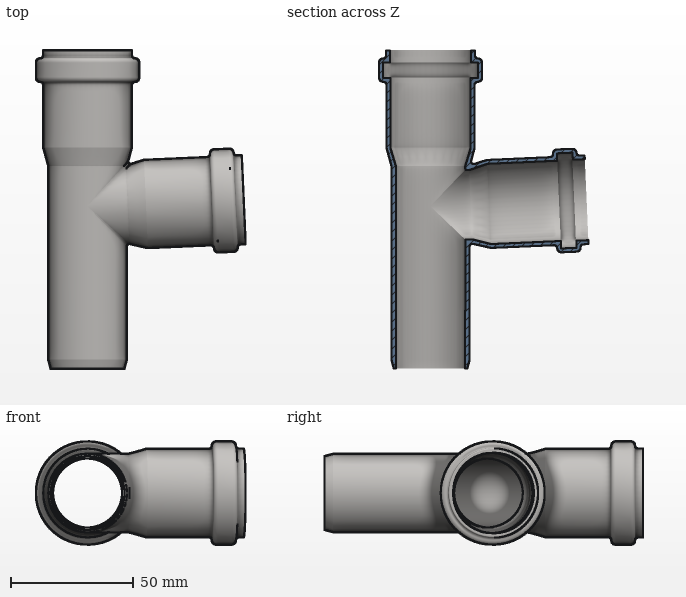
import cadquery as cq
import math

PIPE_DIAMETER = 32.2
BORE_DIAMETER = 28.2
PIPE_REACH = 66.5
SPIGOT_CHAMFER_LENGTH = 3.7
SPIGOT_CHAMFER_DEPTH = 1.0

SOCKET_REACH = 64.0
SOCKET_DIAMETER = 36.3
SOCKET_BORE_DIAMETER = 32.7
TAPER_START = 16.5
TAPER_LENGTH = 7.5

BEAD_DIAMETER = 42.4
BEAD_GROOVE_DIAMETER = 38.8
BEAD_FRONT = 3.3
BEAD_BACK = 13.1
BEAD_ROUND = 1.9
LIP_DIAMETER = 36.6
LIP_BORE_DIAMETER = 33.0
MOUTH_ROUND = 0.5

BRANCH_ANGLE = 87.5
JUNCTION_FILLET = 1.0

pipe_radius = PIPE_DIAMETER / 2
bore_radius = BORE_DIAMETER / 2
socket_radius = SOCKET_DIAMETER / 2
socket_bore_radius = SOCKET_BORE_DIAMETER / 2
bead_radius = BEAD_DIAMETER / 2
groove_radius = BEAD_GROOVE_DIAMETER / 2
lip_radius = LIP_DIAMETER / 2
lip_bore_radius = LIP_BORE_DIAMETER / 2

taper_end = TAPER_START + TAPER_LENGTH
bead_front = SOCKET_REACH - BEAD_FRONT
bead_back = SOCKET_REACH - BEAD_BACK
bead_wall = bead_radius - groove_radius
groove_front = bead_front - bead_wall
groove_back = bead_back + bead_wall

foot_radius = bead_radius - BEAD_ROUND
back_hollow = foot_radius - socket_radius
front_hollow = foot_radius - lip_radius


def arc_middle(center_radius, center_distance, arc_radius, radial_sign, axial_sign):
    """Middle point of a quarter arc that bulges in the given diagonal direction."""
    offset = arc_radius * math.sqrt(0.5)
    return center_radius + radial_sign * offset, center_distance + axial_sign * offset


def revolve(profile):
    """Revolve a closed (radius, distance) profile about the Y axis."""
    return profile.close().revolve(360, (0, 0, 0), (0, 1, 0))


def turn_seam(body):
    """Half a turn about the Y axis, which takes the seam of a run body away from the branch."""
    return body.rotate((0, 0, 0), (0, 1, 0), 180)


def turn_to_branch(body):
    """Swing a body from the run axis (+Y) to the branch axis."""
    return body.rotate((0, 0, 0), (0, 0, 1), -BRANCH_ANGLE)


def spigot_outside():
    """Start of the outer run profile: plain end with a long lead-in chamfer."""
    return (
        cq.Workplane("XY")
        .moveTo(0, -PIPE_REACH)
        .lineTo(pipe_radius - SPIGOT_CHAMFER_DEPTH, -PIPE_REACH)
        .lineTo(pipe_radius, SPIGOT_CHAMFER_LENGTH - PIPE_REACH)
    )


def spigot_inside():
    """Start of the inner run profile: straight bore from the plain end."""
    return cq.Workplane("XY").moveTo(0, -PIPE_REACH).lineTo(bore_radius, -PIPE_REACH)


def branch_start(radius):
    """Start of a branch profile, at the branch centre."""
    return cq.Workplane("XY").lineTo(radius, 0)


def add_socket_outside(profile):
    """Pipe, taper, socket, rounded seal bead and lip."""
    back_hollow_start = bead_back - back_hollow
    back_crest = bead_back + BEAD_ROUND
    front_crest = bead_front - BEAD_ROUND
    front_hollow_end = bead_front + front_hollow
    mouth_edge = lip_radius - MOUTH_ROUND
    mouth_start = SOCKET_REACH - MOUTH_ROUND
    return (
        profile
        .lineTo(pipe_radius, TAPER_START)
        .lineTo(socket_radius, taper_end)
        .lineTo(socket_radius, back_hollow_start)
        .threePointArc(
            arc_middle(foot_radius, back_hollow_start, back_hollow, -1, 1),
            (foot_radius, bead_back),
        )
        .threePointArc(
            arc_middle(foot_radius, back_crest, BEAD_ROUND, 1, -1),
            (bead_radius, back_crest),
        )
        .lineTo(bead_radius, front_crest)
        .threePointArc(
            arc_middle(foot_radius, front_crest, BEAD_ROUND, 1, 1),
            (foot_radius, bead_front),
        )
        .threePointArc(
            arc_middle(foot_radius, front_hollow_end, front_hollow, -1, -1),
            (lip_radius, front_hollow_end),
        )
        .lineTo(lip_radius, mouth_start)
        .threePointArc(
            arc_middle(mouth_edge, mouth_start, MOUTH_ROUND, 1, 1),
            (mouth_edge, SOCKET_REACH),
        )
        .lineTo(0, SOCKET_REACH)
    )


def add_socket_inside(profile):
    """Bore, taper, socket bore, seal groove and mouth."""
    return (
        profile
        .lineTo(bore_radius, TAPER_START)
        .lineTo(socket_bore_radius, taper_end)
        .lineTo(socket_bore_radius, groove_back)
        .lineTo(groove_radius, groove_back)
        .lineTo(groove_radius, groove_front)
        .lineTo(lip_bore_radius, groove_front)
        .lineTo(lip_bore_radius, SOCKET_REACH)
        .lineTo(0, SOCKET_REACH)
    )


def fillet_junction(body):
    """Blend run and branch where their pipes meet (ellipses) and their tapers meet (spline)."""
    junction_types = ("ELLIPSE", "BSPLINE")
    junction_edges = [edge for edge in body.edges().vals() if edge.geomType() in junction_types]
    return body.newObject(junction_edges).fillet(JUNCTION_FILLET)


run_outside = turn_seam(revolve(add_socket_outside(spigot_outside())))
branch_outside = turn_to_branch(revolve(add_socket_outside(branch_start(pipe_radius))))
outside = fillet_junction(run_outside.union(branch_outside))

run_inside = turn_seam(revolve(add_socket_inside(spigot_inside())))
branch_inside = turn_to_branch(revolve(add_socket_inside(branch_start(bore_radius))))

result = outside.cut(run_inside).cut(branch_inside)